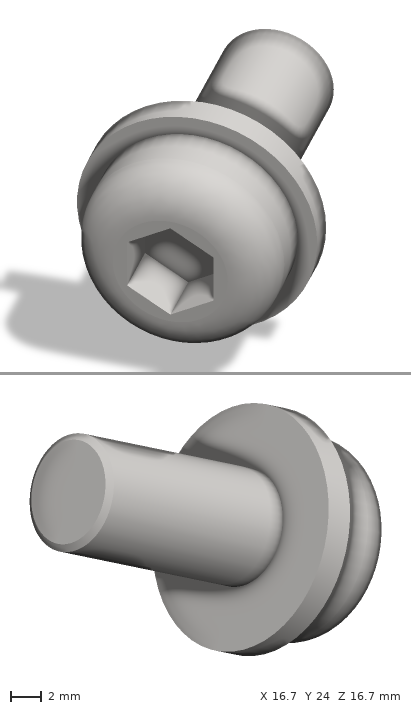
import cadquery as cq
import math

total_length = 24.0
shank_diameter = 8.0
flange_diameter = 16.7
flange_thickness = 2.0
head_diameter = 14.0
head_height = 6.0
head_round = (head_diameter - shank_diameter) / 2
tip_chamfer_length = 0.3
tip_chamfer_depth = 0.48
socket_across_flats = 6.0
socket_depth = 4.0

flange_end = head_height + flange_thickness


def revolved_body():
    """Head, flange and shank as one half profile turned about the Y axis."""
    shank_radius = shank_diameter / 2
    flange_radius = flange_diameter / 2
    head_radius = head_diameter / 2
    flat_radius = head_radius - head_round
    arc_offset = head_round * math.sqrt(0.5)
    arc_middle = (flat_radius + arc_offset, head_round - arc_offset)
    profile = (
        cq.Workplane("XY")
        .lineTo(flat_radius, 0)
        .threePointArc(arc_middle, (head_radius, head_round))
        .lineTo(head_radius, head_height)
        .lineTo(flange_radius, head_height)
        .lineTo(flange_radius, flange_end)
        .lineTo(shank_radius, flange_end)
        .lineTo(shank_radius, total_length - tip_chamfer_length)
        .lineTo(shank_radius - tip_chamfer_depth, total_length)
        .lineTo(0, total_length)
        .close()
    )
    return profile.revolve(360, (0, 0, 0), (0, 1, 0))


def hex_socket():
    """Hexagonal prism entering the head, with corners pointing along Z."""
    across_corners = socket_across_flats / math.cos(math.pi / 6)
    return (
        cq.Workplane("XZ")
        .transformed(rotate=(0, 0, 90))
        .polygon(6, across_corners)
        .extrude(-socket_depth)
    )


result = revolved_body().cut(hex_socket())